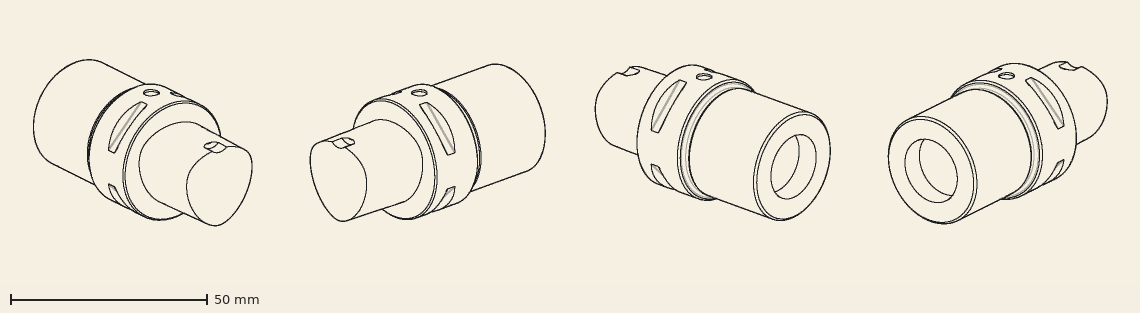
import cadquery as cq
import math

total_length = 59.0
groove_start = 22.85
groove_floor_start = 23.2
groove_floor_end = 24.25
flange_start = 25.0
flange_end = 39.95

body_radius = 28.8 / 2
groove_radius = 28.55 / 2
flange_radius = 32.0 / 2
body_chamfer = 0.6
flange_front_chamfer = 0.55
flange_back_chamfer = 0.4

bore_diameter = 17.0
bore_depth = 5.9

shank_base_radius = 11.05
shank_end_radius = 10.6
lobe_height = 0.7
curve_points = 48

slot_count = 4
slot_first_angle = 45.0
slot_center = 34.0
slot_floor_width = 2.5
slot_floor_height = 14.1
slot_wall_angle = 30.0
slot_corner_radius = 0.3
slot_overshoot = 0.6

dimple_diameter = 4.0
dimple_center = 31.0
dimple_straight_depth = 0.6
dimple_point_angle = 120.0

keyway_start = 54.65
keyway_radius = 3.4
keyway_end_bevel = 0.95
keyway_axis_height = 12.3


def turned_body():
    """Body, relief groove and flange, revolved about X."""
    fillet_radius = flange_start - groove_floor_end
    fillet_drop = fillet_radius * math.sqrt(0.5)
    shoulder_radius = groove_radius + fillet_radius
    return (
        cq.Workplane("XY")
        .moveTo(0, 0)
        .lineTo(0, body_radius - body_chamfer)
        .lineTo(body_chamfer, body_radius)
        .lineTo(groove_start, body_radius)
        .lineTo(groove_floor_start, groove_radius)
        .lineTo(groove_floor_end, groove_radius)
        .threePointArc(
            (groove_floor_end + fillet_drop, shoulder_radius - fillet_drop),
            (flange_start, shoulder_radius),
        )
        .lineTo(flange_start, flange_radius - flange_front_chamfer)
        .lineTo(flange_start + flange_front_chamfer, flange_radius)
        .lineTo(flange_end - flange_back_chamfer, flange_radius)
        .lineTo(flange_end, flange_radius - flange_back_chamfer)
        .lineTo(flange_end, 0)
        .close()
        .revolve(360, (0, 0, 0), (1, 0, 0))
    )


def lobed_point(mean_radius, angle):
    """Point (y, z) of the lobed outline whose normal is at the given angle from -Z."""
    reach = mean_radius + lobe_height * math.cos(3 * angle)
    reach_slope = -3 * lobe_height * math.sin(3 * angle)
    along = reach * math.cos(angle) - reach_slope * math.sin(angle)
    across = reach * math.sin(angle) + reach_slope * math.cos(angle)
    return across, -along


def lobed_outline(mean_radius):
    step = 2 * math.pi / curve_points
    return [lobed_point(mean_radius, i * step) for i in range(curve_points)]


def shank():
    return (
        cq.Workplane("YZ", origin=(flange_end, 0, 0))
        .spline(lobed_outline(shank_base_radius), periodic=True)
        .close()
        .workplane(offset=total_length - flange_end)
        .spline(lobed_outline(shank_end_radius), periodic=True)
        .close()
        .loft(ruled=True, combine=True)
    )


def bore():
    return cq.Workplane("YZ").circle(bore_diameter / 2).extrude(bore_depth)


def gripper_slot(angle):
    """Straight tangential slot with sloped walls, turned about X from +Z."""
    half_floor = slot_floor_width / 2
    top_height = flange_radius + slot_overshoot
    half_top = half_floor + (top_height - slot_floor_height) * math.tan(math.radians(slot_wall_angle))
    return (
        cq.Workplane("XZ")
        .polyline([
            (slot_center - half_floor, slot_floor_height),
            (slot_center + half_floor, slot_floor_height),
            (slot_center + half_top, top_height),
            (slot_center - half_top, top_height),
        ])
        .close()
        .extrude(flange_radius, both=True)
        .edges("|Y and <Z")
        .fillet(slot_corner_radius)
        .rotate((0, 0, 0), (1, 0, 0), angle)
    )


def dimple():
    radius = dimple_diameter / 2
    rim_height = flange_radius - dimple_straight_depth
    point_depth = radius / math.tan(math.radians(dimple_point_angle / 2))
    return (
        cq.Workplane("XZ", origin=(dimple_center, 0, 0))
        .moveTo(0, rim_height - point_depth)
        .lineTo(radius, rim_height)
        .lineTo(radius, flange_radius)
        .lineTo(0, flange_radius)
        .close()
        .revolve(360, (0, 0, 0), (0, 1, 0))
    )


def keyway():
    return (
        cq.Workplane("YZ", origin=(keyway_start, 0, keyway_axis_height))
        .circle(keyway_radius)
        .extrude(total_length - keyway_start)
        .faces("<X")
        .chamfer(keyway_end_bevel)
    )


result = turned_body().union(shank()).cut(bore()).cut(dimple()).cut(keyway())
for index in range(slot_count):
    result = result.cut(gripper_slot(slot_first_angle + index * 360 / slot_count))